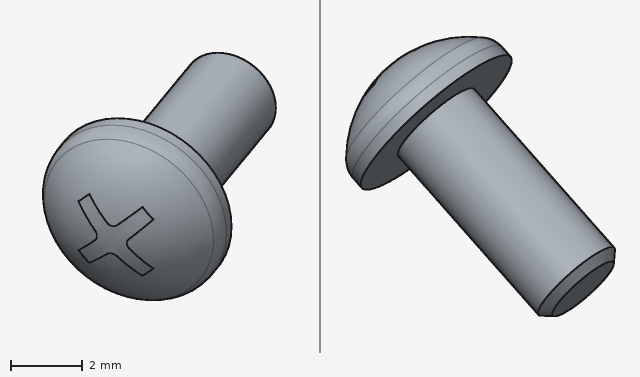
import cadquery as cq
import math

total_length = 8.38
head_height = 2.03
head_radius = 5.565 / 2
rim_height = 0.38
rim_blend_radius = 0.7
dome_edge_radius = 2.6
shank_radius = 2.84 / 2
shank_length = total_length - head_height
tip_chamfer = 0.285

arm_reach = 1.39
arm_tip_half_width = 0.235
arm_root_half_width = 0.264
root_fillet = 0.23
insert_depth = 1.005

blend_center_x = head_radius - rim_blend_radius
dome_edge_angle = math.acos((dome_edge_radius - blend_center_x) / rim_blend_radius)
dome_edge_y = -rim_height - rim_blend_radius * math.sin(dome_edge_angle)
blend_mid = (
    blend_center_x + rim_blend_radius * math.cos(dome_edge_angle / 2),
    -rim_height - rim_blend_radius * math.sin(dome_edge_angle / 2),
)

dome_sag = head_height + dome_edge_y
dome_radius = (dome_edge_radius**2 + dome_sag**2) / (2 * dome_sag)
dome_center_y = dome_radius - head_height
dome_mid_angle = math.asin(dome_edge_radius / dome_radius) / 2
dome_mid = (
    dome_radius * math.sin(dome_mid_angle),
    dome_center_y - dome_radius * math.cos(dome_mid_angle),
)


def make_blank():
    """Screw with a plain domed head, revolved about the Y axis."""
    return (
        cq.Workplane("XY")
        .moveTo(0, shank_length)
        .lineTo(shank_radius - tip_chamfer, shank_length)
        .lineTo(shank_radius, shank_length - tip_chamfer)
        .lineTo(shank_radius, 0)
        .lineTo(head_radius, 0)
        .lineTo(head_radius, -rim_height)
        .threePointArc(blend_mid, (dome_edge_radius, dome_edge_y))
        .threePointArc(dome_mid, (0, -head_height))
        .close()
        .revolve(360, (0, 0, 0), (0, 1, 0))
    )


def make_cross_prism():
    """Cross with diagonal arms, reaching from the recess floor past the dome apex."""
    arm_points = [
        (arm_root_half_width, -arm_root_half_width),
        (arm_reach, -arm_tip_half_width),
        (arm_reach, arm_tip_half_width),
    ]
    outline = []
    for arm in range(4):
        angle = math.radians(45 + 90 * arm)
        for along, across in arm_points:
            outline.append((
                along * math.cos(angle) - across * math.sin(angle),
                along * math.sin(angle) + across * math.cos(angle),
            ))
    cross = (
        cq.Workplane("XZ", origin=(0, insert_depth - head_height, 0))
        .polyline(outline)
        .close()
        .extrude(head_height)
    )
    corner_reach = 2 * arm_root_half_width
    inner_corners = cq.selectors.BoxSelector(
        (-corner_reach, -2 * head_height, -corner_reach),
        (corner_reach, head_height, corner_reach),
    )
    return cross.edges("|Y").edges(inner_corners).fillet(root_fillet)


blank = make_blank()
cross_prism = make_cross_prism()

screw = blank.cut(cross_prism)

drive_insert = blank.intersect(cross_prism)

result = cq.Compound.makeCompound([screw.solids().val(), drive_insert.solids().val()])